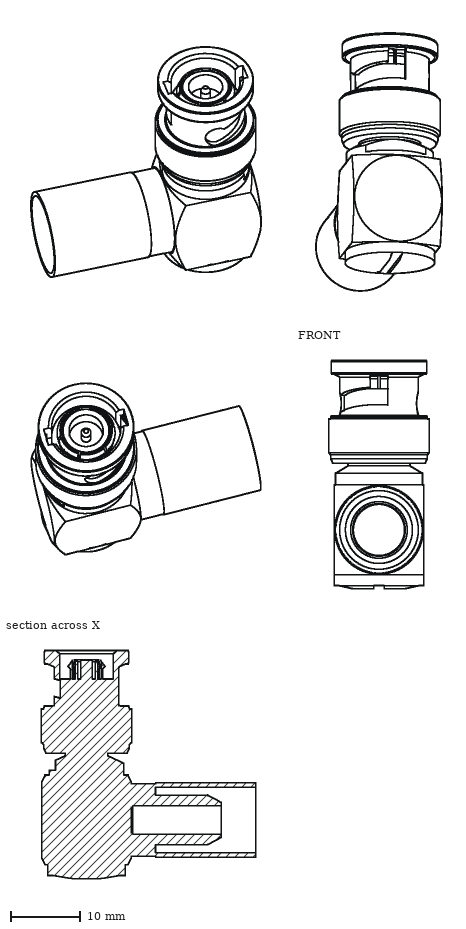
import cadquery as cq
import math


body_size = 13.0
body_half = body_size / 2
body_turn_radius = 6.4
body_turn_angle = 30.0
collar_radius = 6.2
collar_end = 10.0
ferrule_radius = 6.3
ferrule_bore_radius = 5.7
ferrule_end = 24.5
support_radius = 4.85
support_tip_radius = 4.1
support_bore_radius = 3.8
support_end = 19.5
support_taper_length = 2.0
stop_radius = 3.7
stop_step = 0.2

cap_rim_z = -8.05
cap_bottom_z = -8.52
cap_cone_radius = 5.9
cap_flat_radius = 3.8
cap_slot_width = 1.5

neck_radius = 6.3
neck_waist_radius = 4.5
neck_cone_bottom_z = 8.2
neck_cone_top_z = 9.27
neck_flat_z = 7.2

shell_bottom_z = 9.63
shell_bottom_radius = 6.8
shell_step_radius = 7.0
shell_grip_radius = 7.3
shell_low_edge_z = 10.1
shell_cone_bottom_z = 10.85
shell_grip_bottom_z = 11.2
shell_grip_top_z = 16.05
shell_top_z = 16.5
soft_edge_width = 0.1
soft_edge_height = 0.22

barrel_radius = 5.7
barrel_root_width = 0.2
barrel_root_height = 0.07
barrel_bore_radius = 5.0
barrel_floor_z = 20.4
top_z = 24.52
mouth_radius = 5.45
mouth_depth = 0.5
flange_radius = 6.93
flange_bottom_z = 22.52
flange_cone_radius = 6.5
flange_cone_z = 22.12

entry_width = 2.55
entry_reach = 6.0
lock_hole_z = 18.3
lock_hole_radius = 1.63
ramp_angle = 15.0
ramp_width = 2.45

finger_top_z = 23.2
finger_neck_z = 21.85
finger_bulge_z = 22.2
finger_neck_radius = 4.0
finger_bulge_radius = 4.2
finger_tip_radius = 3.78
finger_tip_inner_radius = 3.62
finger_bore_radius = 3.45
finger_tip_chamfer_depth = 0.3
finger_slit_width = 0.35
finger_count = 6
insulator_radius = 3.33
insulator_bore_radius = 2.47
insulator_top_z = 23.1
pin_radius = 0.7
pin_tip_radius = 0.32
pin_shoulder_z = 22.3
pin_top_z = 22.95


def turned_about_z(points):
    """Solid of revolution about Z from (radius, z) points."""
    return cq.Workplane("XZ").polyline(points).close().revolve(360, (0, 0, 0), (0, 1, 0))


def turned_about_y(points):
    """Solid of revolution about the cable axis from (radius, distance toward -Y) points."""
    profile = [(radius, -distance) for radius, distance in points]
    return cq.Workplane("XY").polyline(profile).close().revolve(360, (0, 0, 0), (0, 1, 0))


def plain_cylinder(radius, bottom_z, height):
    return cq.Workplane("XY").workplane(offset=bottom_z).circle(radius).extrude(height)


def make_body():
    """Cube whose corners are turned conically about the cable axis at both ends."""
    block = cq.Workplane("XY").box(body_size, body_size, body_size)
    middle_radius = body_turn_radius + body_half / math.tan(math.radians(body_turn_angle))
    turned = turned_about_y([
        (0, -body_half),
        (body_turn_radius, -body_half),
        (middle_radius, 0),
        (body_turn_radius, body_half),
        (0, body_half),
    ])
    return block.intersect(turned)


def make_cap():
    """Round screw cap with a shallow coned bottom and a screwdriver slot."""
    cap = turned_about_z([
        (0, -body_half),
        (body_half, -body_half),
        (body_half, cap_rim_z),
        (cap_cone_radius, cap_rim_z),
        (cap_flat_radius, cap_bottom_z),
        (0, cap_bottom_z),
    ])
    slot_depth = cap_rim_z - cap_bottom_z
    slot = (
        cq.Workplane("XY")
        .workplane(offset=cap_bottom_z)
        .rect(cap_slot_width, body_size)
        .extrude(slot_depth)
    )
    return cap.cut(slot)


def make_cable_side():
    """Collar, open crimp ferrule and the hollow support sleeve inside it."""
    return turned_about_y([
        (0, body_half),
        (collar_radius, body_half),
        (collar_radius, collar_end),
        (ferrule_radius, collar_end),
        (ferrule_radius, ferrule_end),
        (ferrule_bore_radius, ferrule_end),
        (ferrule_bore_radius, collar_end),
        (support_radius, collar_end),
        (support_radius, support_end - support_taper_length),
        (support_tip_radius, support_end),
        (support_bore_radius, support_end),
        (support_bore_radius, body_half + stop_step),
        (stop_radius, body_half + stop_step),
        (stop_radius, body_half),
    ])


def make_neck():
    """Coned neck with a flat on its rear side, level with the waist."""
    neck = turned_about_z([
        (0, body_half),
        (neck_radius, body_half),
        (neck_radius, neck_cone_bottom_z),
        (neck_waist_radius, neck_cone_top_z),
        (neck_waist_radius, shell_bottom_z),
        (0, shell_bottom_z),
    ])
    flat_cut = (
        cq.Workplane("XY")
        .workplane(offset=neck_flat_z)
        .center(0, neck_waist_radius + neck_radius / 2)
        .rect(2 * neck_radius, neck_radius)
        .extrude(shell_bottom_z - neck_flat_z)
    )
    return neck.cut(flat_cut)


def make_shell():
    """Solid coupling shell with a raised grip band."""
    return turned_about_z([
        (0, shell_bottom_z),
        (shell_bottom_radius - soft_edge_width, shell_bottom_z),
        (shell_bottom_radius, shell_bottom_z + soft_edge_height),
        (shell_step_radius - soft_edge_width, shell_low_edge_z),
        (shell_step_radius, shell_low_edge_z + soft_edge_height),
        (shell_step_radius, shell_cone_bottom_z),
        (shell_grip_radius, shell_grip_bottom_z),
        (shell_grip_radius, shell_grip_top_z),
        (shell_step_radius, shell_grip_top_z),
        (shell_step_radius, shell_top_z - soft_edge_height),
        (shell_step_radius - soft_edge_width, shell_top_z),
        (0, shell_top_z),
    ])


def make_bayonet_slot():
    """Cutter for one slot: entry groove, slanted ramp and round locking hole, on the -X, -Y side."""
    entry = (
        cq.Workplane("XY")
        .workplane(offset=lock_hole_z)
        .center(0, -entry_reach / 2)
        .rect(entry_width, entry_reach)
        .extrude(top_z - lock_hole_z)
    )
    side_plane = cq.Plane(origin=(entry_width / 2, 0, lock_hole_z), xDir=(0, -1, 0), normal=(-1, 0, 0))
    cut_length = barrel_radius + entry_width
    lock_hole = cq.Workplane(side_plane).circle(lock_hole_radius).extrude(cut_length)
    ramp_length = 2 * barrel_radius
    ramp = (
        cq.Workplane(side_plane)
        .transformed(rotate=(0, 0, ramp_angle))
        .center(ramp_length / 2, ramp_width / 2 - lock_hole_radius)
        .rect(ramp_length, ramp_width)
        .extrude(cut_length)
    )
    return entry.union(lock_hole).union(ramp)


def make_barrel():
    """Bayonet barrel with its front flange and two opposite slots."""
    barrel = turned_about_z([
        (barrel_bore_radius, shell_top_z),
        (barrel_radius + barrel_root_width, shell_top_z),
        (barrel_radius, shell_top_z + barrel_root_height),
        (barrel_radius, flange_cone_z),
        (flange_cone_radius, flange_bottom_z),
        (flange_radius - soft_edge_width, flange_bottom_z),
        (flange_radius, flange_bottom_z + soft_edge_height),
        (flange_radius, top_z - soft_edge_height),
        (flange_radius - soft_edge_width, top_z),
        (mouth_radius, top_z),
        (barrel_bore_radius, top_z - mouth_depth),
    ])
    slot = make_bayonet_slot()
    for turn in (0, 180):
        barrel = barrel.cut(slot.rotate((0, 0, 0), (0, 0, 1), turn))
    floor_fill = plain_cylinder(barrel_bore_radius, shell_top_z, barrel_floor_z - shell_top_z)
    return barrel.union(floor_fill)


def make_spring_fingers():
    """Slit outer contact with a bulged head."""
    fingers = turned_about_z([
        (finger_bore_radius, barrel_floor_z),
        (finger_neck_radius, barrel_floor_z),
        (finger_neck_radius, finger_neck_z),
        (finger_bulge_radius, finger_bulge_z),
        (finger_tip_radius, finger_top_z),
        (finger_tip_inner_radius, finger_top_z),
        (finger_bore_radius, finger_top_z - finger_tip_chamfer_depth),
    ])
    slit = (
        cq.Workplane("XY")
        .workplane(offset=barrel_floor_z)
        .center(0, finger_bulge_radius / 2)
        .rect(finger_slit_width, finger_bulge_radius)
        .extrude(finger_top_z - barrel_floor_z)
    )
    for index in range(finger_count):
        fingers = fingers.cut(slit.rotate((0, 0, 0), (0, 0, 1), index * 360 / finger_count))
    return fingers


def make_insulator():
    """Tubular insulator standing on the barrel floor."""
    height = insulator_top_z - barrel_floor_z
    outside = plain_cylinder(insulator_radius, barrel_floor_z, height)
    return outside.cut(plain_cylinder(insulator_bore_radius, barrel_floor_z, height))


def make_pin():
    """Centre contact with a coned tip."""
    return turned_about_z([
        (0, barrel_floor_z),
        (pin_radius, barrel_floor_z),
        (pin_radius, pin_shoulder_z),
        (pin_tip_radius, pin_top_z),
        (0, pin_top_z),
    ])


result = (
    make_body()
    .union(make_cap())
    .union(make_cable_side())
    .union(make_neck())
    .union(make_shell())
    .union(make_barrel())
    .union(make_spring_fingers())
    .union(make_insulator())
    .union(make_pin())
)